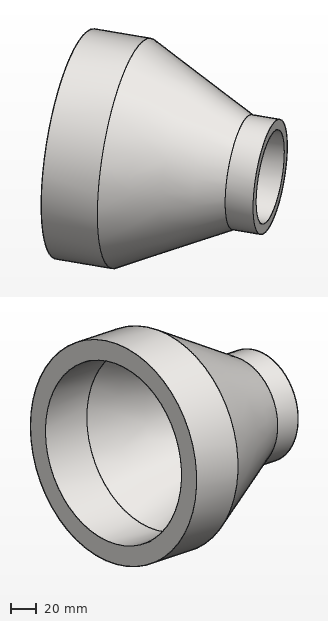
import cadquery as cq

large_outer_diameter = 180.0
large_inner_diameter = 147.2
small_outer_diameter = 90.0
small_inner_diameter = 73.6

total_length = 157.0
large_collar_length = 45.4
small_collar_length = 22.5
cone_end = total_length - small_collar_length


def reducer_solid(large_diameter, small_diameter):
    """Solid of revolution: large cylinder, cone, then small cylinder."""
    large_radius = large_diameter / 2
    small_radius = small_diameter / 2
    return (
        cq.Workplane("XY")
        .moveTo(0, 0)
        .lineTo(0, large_radius)
        .lineTo(large_collar_length, large_radius)
        .lineTo(cone_end, small_radius)
        .lineTo(total_length, small_radius)
        .lineTo(total_length, 0)
        .close()
        .revolve(360, (0, 0, 0), (1, 0, 0))
    )


outer_body = reducer_solid(large_outer_diameter, small_outer_diameter)
bore = reducer_solid(large_inner_diameter, small_inner_diameter)

result = outer_body.cut(bore)